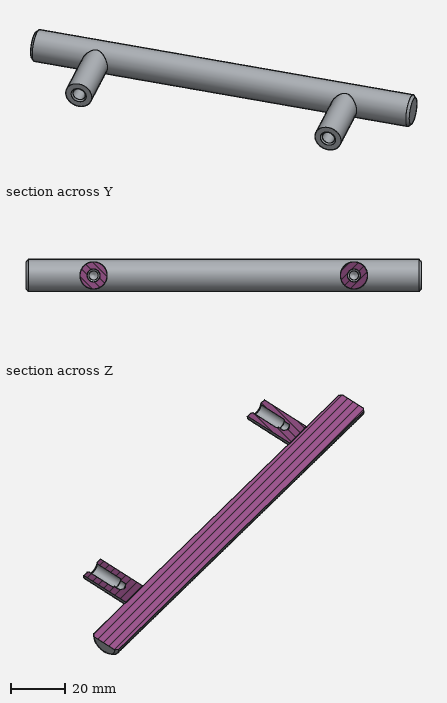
import cadquery as cq
import math

bar_length = 146.0
bar_diameter = 12.0
bar_chamfer = 1.0
overall_depth = 32.0
post_diameter = 10.1
post_spacing = 96.0
hole_diameter = 4.7
hole_depth = 11.7
pilot_diameter = 3.4
pilot_depth = 14.6
countersink_diameter = 5.8
countersink_depth = 0.6
drill_tip_angle = 118.0

bar_radius = bar_diameter / 2
post_end_y = bar_radius - overall_depth
drill_tip_slope = math.tan(math.radians(drill_tip_angle / 2))
post_positions = [-post_spacing / 2, post_spacing / 2]


def make_bar():
    """Round grip bar along X with chamfered ends."""
    return (
        cq.Workplane("YZ", origin=(-bar_length / 2, 0, 0))
        .circle(bar_radius)
        .extrude(bar_length)
        .faces("<X or >X")
        .chamfer(bar_chamfer)
    )


def make_screw_hole(x):
    """Blind hole into a post's outer end, stepping down to a pilot hole with a drill tip."""
    hole_radius = hole_diameter / 2
    pilot_radius = pilot_diameter / 2
    shoulder_y = post_end_y + hole_depth
    pilot_start_y = shoulder_y + (hole_radius - pilot_radius) / drill_tip_slope
    pilot_end_y = post_end_y + pilot_depth
    tip_y = pilot_end_y + pilot_radius / drill_tip_slope
    return (
        cq.Workplane("XY", origin=(x, 0, 0))
        .moveTo(0, post_end_y)
        .lineTo(countersink_diameter / 2, post_end_y)
        .lineTo(hole_radius, post_end_y + countersink_depth)
        .lineTo(hole_radius, shoulder_y)
        .lineTo(pilot_radius, pilot_start_y)
        .lineTo(pilot_radius, pilot_end_y)
        .lineTo(0, tip_y)
        .close()
        .revolve(360, (0, 0, 0), (0, 1, 0))
    )


def make_post(x, bar):
    """Round post whose inner end is saddled onto the bar, with a screw hole in its outer end."""
    post = (
        cq.Workplane("XZ", origin=(x, post_end_y, 0))
        .circle(post_diameter / 2)
        .extrude(post_end_y)
    )
    return post.cut(bar).cut(make_screw_hole(x))


bar = make_bar()
posts = [make_post(x, bar) for x in post_positions]

result = cq.Compound.makeCompound([bar.val(), *[post.val() for post in posts]])